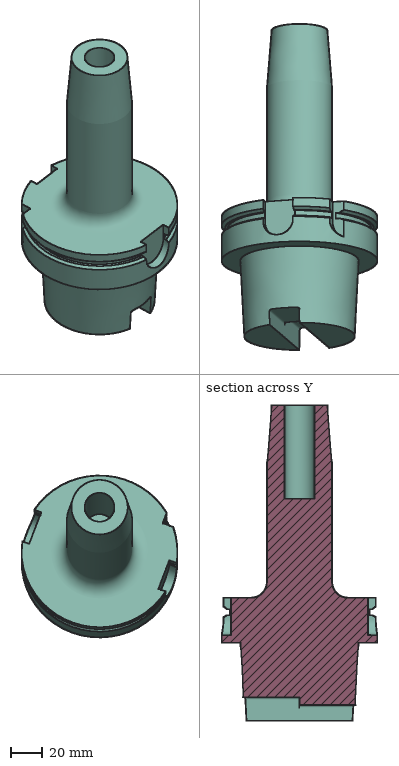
import cadquery as cq
import math


shank_length = 50.0
nose_height = 152.4

flange_radius = 50.0
flange_thickness = 29.0
groove_floor_radius = 46.0
groove_ledge_radius = 47.8
groove_bottom_edge = 16.5
groove_floor_bottom = 17.75
groove_floor_top = 21.5
groove_top_edge = 23.2

shank_top_radius = 38.0
shank_taper = 1 / 20
shank_end_radius = shank_top_radius - shank_length * shank_taper

tube_radius = 21.0
tube_fillet = 10.0
nose_radius = 18.0
nose_half_angle = math.radians(4.5)
nose_taper_length = (tube_radius - nose_radius) / math.tan(nose_half_angle)

bore_diameter = 19.05
bore_depth = 60.0

key_slot_offset = 44.0
left_slot_width = 20.0
right_slot_width = 22.2
key_slot_bottom = 5.0

notch_offset = 31.5
notch_width = 20.0

drive_slot_width = 20.0
left_drive_depth = 10.0
right_drive_depth = 15.0
drive_slot_fillet = 1.5


def make_body():
    """Revolve the whole outer profile about the Z axis."""
    arc_offset = tube_fillet * (1 - math.sqrt(0.5))
    profile = (
        cq.Workplane("YZ")
        .moveTo(0, -shank_length)
        .lineTo(shank_end_radius, -shank_length)
        .lineTo(shank_top_radius, 0)
        .lineTo(flange_radius, 0)
        .lineTo(flange_radius, groove_bottom_edge)
        .lineTo(groove_ledge_radius, groove_floor_bottom)
        .lineTo(groove_floor_radius, groove_floor_bottom)
        .lineTo(groove_floor_radius, groove_floor_top)
        .lineTo(groove_ledge_radius, groove_floor_top)
        .lineTo(flange_radius, groove_top_edge)
        .lineTo(flange_radius, flange_thickness)
        .lineTo(tube_radius + tube_fillet, flange_thickness)
        .threePointArc(
            (tube_radius + arc_offset, flange_thickness + arc_offset),
            (tube_radius, flange_thickness + tube_fillet),
        )
        .lineTo(tube_radius, nose_height - nose_taper_length)
        .lineTo(nose_radius, nose_height)
        .lineTo(0, nose_height)
        .close()
    )
    return profile.revolve(360, (0, 0, 0), (0, 1, 0))


def make_bore():
    bottom = nose_height - bore_depth
    return cq.Workplane("XY").workplane(offset=bottom).circle(bore_diameter / 2).extrude(bore_depth)


def make_rim_slot(x_start, x_end, y_center, width):
    """Vertical slot with a full-round bottom, running along X and open at the top."""
    radius = width / 2
    center_height = key_slot_bottom + radius
    return (
        cq.Workplane("YZ")
        .workplane(offset=x_start)
        .moveTo(y_center - radius, flange_thickness)
        .lineTo(y_center - radius, center_height)
        .threePointArc((y_center, key_slot_bottom), (y_center + radius, center_height))
        .lineTo(y_center + radius, flange_thickness)
        .close()
        .extrude(x_end - x_start)
    )


def make_drive_slot(side, depth):
    """Slot from the axis outward, on the -X (side = -1) or +X (side = 1) half of the shank."""
    return (
        cq.Workplane("XY")
        .workplane(offset=-shank_length)
        .center(side * shank_top_radius / 2, 0)
        .rect(shank_top_radius, drive_slot_width)
        .extrude(depth)
        .edges("|X and >Z")
        .fillet(drive_slot_fillet)
    )


result = (
    make_body()
    .cut(make_bore())
    .cut(make_rim_slot(-flange_radius, -key_slot_offset, 0, left_slot_width))
    .cut(make_rim_slot(key_slot_offset, flange_radius, 0, right_slot_width))
    .cut(make_rim_slot(-flange_radius, -notch_offset, -notch_offset - notch_width / 2, notch_width))
    .cut(make_drive_slot(-1, left_drive_depth))
    .cut(make_drive_slot(1, right_drive_depth))
)